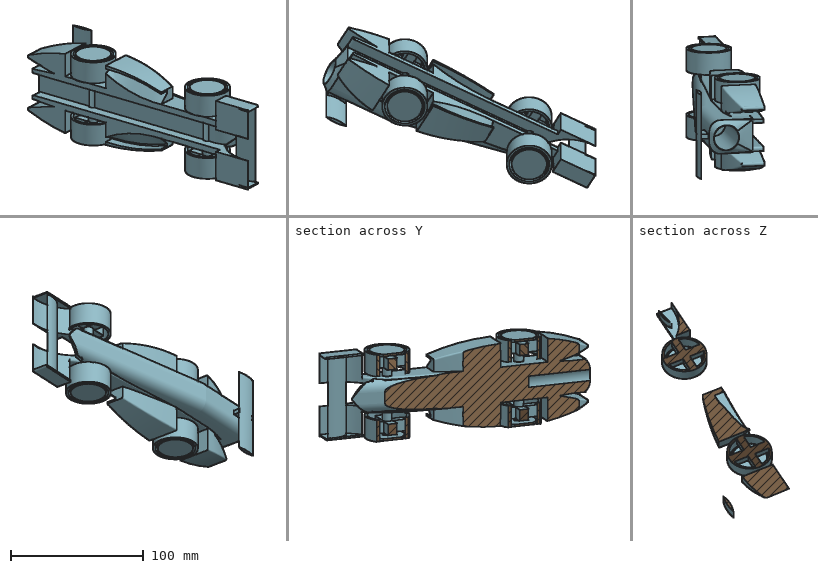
import cadquery as cq
import math


wheel_diameter = 34
wheel_radius = wheel_diameter / 2
wheel_width = 17
rim_bore = 30
cover_diameter = 26.6
cover_thickness = 2
hub_diameter = 7.5
spoke_width_upright = 7.5
spoke_width_level = 6
spoke_recess = 4
spoke_depth = 9
axle_hole_diameter = 6
rear_axle_x = 54
front_axle_x = 161
car_half_width = 34
wheel_inner_z = car_half_width - wheel_width

belly_y = 7
channel_roof_y = 15.4
channel_half_width = 9
side_half_width = 14
pod_half_width = 32.5
slab_end_y = 14
slab_tail_y = 26
tail_x = 4
tail_half_width = 12.3
rail_end_radius = 1.7
wheel_bay_start_x = 35
wheel_bay_end_x = 73
pod_roof_y = 33.2
rear_pod_tip_y = 24
rear_pod_tip_z = 21.5
rear_tip_radius = 1.5
rear_notch_x = 24.5
rear_notch_z = 13.6
front_pod_end_x = 125
front_pod_end_y = 21.7
front_pod_end_z = 23.9
rim_radius = 1.4
duct_roof_y = 15
duct_outer_start_z = 29.9
duct_outer_end_z = 22.5

rear_roof_middle = (18, 30.6)
rear_outer_middle = (12, 26.9)
rear_inner_middle = (14, 16.3)
front_roof_middle = (100, 28.8)
front_outer_middle = (100, 30)
slab_roof_points = [(176, 17.5), (165, 22), (145, 26), (front_pod_end_x, 28)]
duct_outer_middle = (98, 28.7)
duct_floor_inner_arc = [(wheel_bay_end_x, 26), (95, 17.3), (front_pod_end_x, side_half_width)]
duct_roof_inner_arc = [(wheel_bay_end_x, 29.2), (98, 27.5), (front_pod_end_x, 21)]

fuselage_half_width = 13
fuselage_top_y = 48.7
fuselage_edge_radius = 8.5
slope_start_x = 57.5
nose_x = 192
nose_y = 23.2
nose_tip_size = 0.4
nose_lip_y = 21.5
nose_lip_start_x = 184
nose_shoulder_x = 165
nose_shoulder_z = 12
keel_tip_x = 188.5
keel_slope = 0.84
keel_middle = (178, 17.8)
nose_plan_points = [(nose_lip_start_x, 9), (188.3, 5), (nose_x, nose_tip_size)]
nose_taper_start_x = 125
nose_root_x = 163
tail_cap_diameter = 19.5
cartridge_y = 36.4
cartridge_diameter = 19
cartridge_depth = 50

front_wing_start_x = 180
front_wing_end_x = 210
front_wing_bottom_y = 2.2
front_wing_top_y = 15
end_plate_thickness = 1.5
end_plate_corner = 1.4
ramp_lip = 0.4
ramp_middle = (189, 7.2)
flap_start_x = 192
flap_end_x = 208
flap_bottom_y = 11.6
flap_top_y = 14.5
flap_crown = (197, 14)

rear_wing_start_x = 7
rear_wing_end_x = 24.5
rear_wing_edge_y = 54.5
rear_wing_bottom_y = 52.95
rear_wing_top_y = 55.73
strut_root_y = 47
strut_start_x = 7.6
strut_end_x = 23
strut_thickness = 3.4


def side_prism(outline, z_from, z_to):
    """Extrude an XY outline from z_from to z_to."""
    return outline.extrude(z_to - z_from).translate((0, 0, z_from))


def plan_prism(outline, y_from, y_to):
    """Extrude an outline drawn in X and Z from height y_from to y_to."""
    return outline.extrude(y_from - y_to).translate((0, y_from, 0))


def nearest(x, y, z):
    """Select the edge whose middle is closest to a point."""
    return cq.selectors.NearestToPointSelector((x, y, z))


def both_sides(shape):
    """Join a shape on the +Z side with its mirror image."""
    return shape.union(shape.mirror("XY"))


def side_slab():
    profile = (
        cq.Workplane("XY")
        .moveTo(tail_x, belly_y)
        .lineTo(front_wing_start_x, belly_y)
        .lineTo(front_wing_start_x, slab_end_y)
        .spline(slab_roof_points, includeCurrent=True)
        .lineTo(wheel_bay_end_x, pod_roof_y)
        .lineTo(wheel_bay_start_x, pod_roof_y)
        .threePointArc(rear_roof_middle, (tail_x, slab_tail_y))
        .close()
    )
    slab = side_prism(profile, channel_half_width, side_half_width)
    tail_taper = (
        cq.Workplane("XZ")
        .moveTo(tail_x, tail_half_width)
        .lineTo(rear_notch_x, rear_notch_z)
        .lineTo(rear_notch_x, pod_half_width)
        .lineTo(tail_x, pod_half_width)
        .close()
    )
    slab = slab.cut(plan_prism(tail_taper, 0, pod_roof_y))
    slab = slab.edges(nearest(tail_x, channel_roof_y, channel_half_width)).fillet(rail_end_radius)
    return slab.edges(nearest(*slab_roof_points[2], side_half_width)).fillet(rim_radius)


def rear_pod():
    plan = (
        cq.Workplane("XZ")
        .moveTo(wheel_bay_start_x, channel_half_width)
        .lineTo(wheel_bay_start_x, pod_half_width)
        .threePointArc(rear_outer_middle, (rear_tip_radius, rear_pod_tip_z + rear_tip_radius))
        .threePointArc((0, rear_pod_tip_z), (rear_tip_radius, rear_pod_tip_z - rear_tip_radius))
        .threePointArc(rear_inner_middle, (rear_notch_x, rear_notch_z))
        .lineTo(rear_notch_x, channel_half_width)
        .close()
    )
    profile = (
        cq.Workplane("XY")
        .moveTo(0, belly_y)
        .lineTo(wheel_bay_start_x, belly_y)
        .lineTo(wheel_bay_start_x, pod_roof_y)
        .threePointArc(rear_roof_middle, (0, rear_pod_tip_y))
        .close()
    )
    pod = side_prism(profile, channel_half_width, pod_half_width)
    pod = pod.intersect(plan_prism(plan, belly_y, pod_roof_y))
    rim_region = cq.selectors.BoxSelector(
        (-rim_radius, rear_pod_tip_y - rim_radius, rear_notch_z),
        (wheel_bay_start_x - rim_radius, pod_roof_y, pod_half_width + rim_radius),
    )
    return pod.edges(rim_region).edges("not |Y").fillet(rim_radius)


def duct_outline(height, inner_arc):
    """Closed duct section at one height, between an inner arc and the outer wall."""
    inner_start, inner_middle, inner_end = inner_arc
    return (
        cq.Workplane("XZ", origin=(0, height, 0))
        .moveTo(*inner_start)
        .threePointArc(inner_middle, inner_end)
        .lineTo(front_pod_end_x, duct_outer_end_z)
        .threePointArc(duct_outer_middle, (wheel_bay_end_x, duct_outer_start_z))
        .close()
        .wire()
        .val()
    )


def front_pod():
    plan = (
        cq.Workplane("XZ")
        .moveTo(wheel_bay_end_x, channel_half_width)
        .lineTo(wheel_bay_end_x, pod_half_width)
        .threePointArc(front_outer_middle, (front_pod_end_x, front_pod_end_z))
        .lineTo(front_pod_end_x, channel_half_width)
        .close()
    )
    profile = (
        cq.Workplane("XY")
        .moveTo(wheel_bay_end_x, belly_y)
        .lineTo(front_pod_end_x, belly_y)
        .lineTo(front_pod_end_x, front_pod_end_y)
        .threePointArc(front_roof_middle, (wheel_bay_end_x, pod_roof_y))
        .close()
    )
    pod = side_prism(profile, channel_half_width, pod_half_width)
    pod = pod.intersect(plan_prism(plan, belly_y, pod_roof_y))
    roof_rim = nearest(*front_roof_middle, front_outer_middle[1])
    pod = pod.edges(roof_rim).fillet(rim_radius)
    duct_floor = duct_outline(belly_y, duct_floor_inner_arc)
    duct_roof = duct_outline(duct_roof_y, duct_roof_inner_arc)
    return pod.cut(cq.Workplane(cq.Solid.makeLoft([duct_floor, duct_roof], True)))


def fuselage():
    spine_profile = (
        cq.Workplane("XY")
        .moveTo(tail_x, belly_y - fuselage_top_y)
        .lineTo(tail_x, fuselage_top_y)
        .lineTo(slope_start_x, fuselage_top_y)
        .lineTo(nose_x, nose_y)
        .lineTo(nose_x, belly_y - fuselage_top_y)
        .close()
    )
    spine = side_prism(spine_profile, -fuselage_half_width, fuselage_half_width)
    top_edges = cq.selectors.BoxSelector(
        (tail_x, channel_roof_y, -car_half_width), (nose_x, fuselage_top_y + 1, car_half_width)
    )
    spine = spine.edges("(not |Y) and (not |Z)").edges(top_edges).fillet(fuselage_edge_radius)
    side_profile = (
        cq.Workplane("XY")
        .moveTo(tail_x, channel_roof_y)
        .lineTo(nose_root_x, channel_roof_y)
        .threePointArc(keel_middle, (nose_lip_start_x, nose_lip_y))
        .lineTo(nose_x, nose_y - nose_tip_size)
        .lineTo(nose_x, fuselage_top_y)
        .lineTo(tail_x, fuselage_top_y)
        .close()
    )
    half_plan = (
        cq.Workplane("XZ")
        .moveTo(tail_x, 0)
        .lineTo(tail_x, fuselage_half_width)
        .lineTo(nose_taper_start_x, fuselage_half_width)
        .lineTo(nose_shoulder_x, nose_shoulder_z)
        .spline(nose_plan_points, includeCurrent=True)
        .lineTo(nose_x, 0)
        .close()
    )
    plan = both_sides(plan_prism(half_plan, channel_roof_y, fuselage_top_y))
    spine = spine.intersect(side_prism(side_profile, -fuselage_half_width, fuselage_half_width))
    return spine.intersect(plan).cut(both_sides(keel_relief()))


def keel_relief():
    """Space beside the keel, below the overhanging lip of the nose."""
    keel_start_x = keel_tip_x - fuselage_half_width / keel_slope
    beside_keel = (
        cq.Workplane("XZ")
        .moveTo(keel_start_x, fuselage_half_width)
        .lineTo(keel_tip_x, 0)
        .lineTo(nose_x, 0)
        .lineTo(nose_x, fuselage_half_width)
        .close()
    )
    return plan_prism(beside_keel, 0, nose_lip_y)


def tail_cap():
    shoulder_y = fuselage_top_y - fuselage_edge_radius
    roof_half_width = fuselage_half_width - fuselage_edge_radius
    corner_reach = fuselage_edge_radius * math.sqrt(0.5)
    left_corner = (shoulder_y + corner_reach, -roof_half_width - corner_reach)
    right_corner = (shoulder_y + corner_reach, roof_half_width + corner_reach)
    section_points = [
        (channel_roof_y, -tail_half_width),
        (shoulder_y, -fuselage_half_width),
        (fuselage_top_y, -roof_half_width),
        (fuselage_top_y, roof_half_width),
        (shoulder_y, fuselage_half_width),
        (channel_roof_y, tail_half_width),
    ]
    section = (
        cq.Workplane("YZ", origin=(tail_x, 0, 0))
        .moveTo(*section_points[0])
        .lineTo(*section_points[1])
        .threePointArc(left_corner, section_points[2])
        .lineTo(*section_points[3])
        .threePointArc(right_corner, section_points[4])
        .lineTo(*section_points[5])
        .close()
    )

    def on_circle(angle):
        radius = tail_cap_diameter / 2
        return (cartridge_y + radius * math.cos(angle), radius * math.sin(angle))

    angles = [math.atan2(z, y - cartridge_y) for y, z in section_points]
    angles.append(angles[0] + 2 * math.pi)
    round_face = cq.Workplane("YZ").moveTo(*on_circle(angles[0]))
    for start, end in zip(angles, angles[1:]):
        round_face = round_face.threePointArc(on_circle((start + end) / 2), on_circle(end))
    wires = [round_face.wire().val(), section.wire().val()]
    return cq.Workplane(cq.Solid.makeLoft(wires, True))


def cartridge_bore():
    return (
        cq.Workplane("YZ")
        .center(cartridge_y, 0)
        .circle(cartridge_diameter / 2)
        .extrude(cartridge_depth)
    )


def front_wing():
    ramp_profile = (
        cq.Workplane("XY")
        .moveTo(front_wing_start_x, front_wing_bottom_y)
        .lineTo(front_wing_end_x, front_wing_bottom_y)
        .lineTo(front_wing_end_x, front_wing_bottom_y + ramp_lip)
        .threePointArc(ramp_middle, (front_wing_start_x, slab_end_y))
        .close()
    )
    ramp = side_prism(ramp_profile, channel_half_width, pod_half_width)
    end_plate = cq.Workplane("XY").box(
        front_wing_end_x - front_wing_start_x,
        front_wing_top_y - front_wing_bottom_y,
        end_plate_thickness,
        centered=False,
    )
    end_plate = end_plate.edges(">X and >Z").fillet(end_plate_corner)
    end_plate = end_plate.translate(
        (front_wing_start_x, front_wing_bottom_y, pod_half_width - end_plate_thickness)
    )
    flap_profile = (
        cq.Workplane("XY")
        .moveTo(flap_start_x, flap_bottom_y)
        .lineTo(flap_end_x, flap_top_y)
        .threePointArc(flap_crown, (flap_start_x, flap_bottom_y))
        .close()
    )
    flap = side_prism(flap_profile, 0, pod_half_width - end_plate_thickness)
    return ramp.union(end_plate).union(flap)


def rear_wing():
    middle_x = (rear_wing_start_x + rear_wing_end_x) / 2
    blade = (
        cq.Workplane("XY")
        .moveTo(rear_wing_start_x, rear_wing_edge_y)
        .threePointArc((middle_x, rear_wing_top_y), (rear_wing_end_x, rear_wing_edge_y))
        .threePointArc((middle_x, rear_wing_bottom_y), (rear_wing_start_x, rear_wing_edge_y))
        .close()
    )
    blade = side_prism(blade, -pod_half_width, pod_half_width)
    strut = cq.Workplane("XZ").moveTo((strut_start_x + strut_end_x) / 2, 0)
    strut = strut.rect(strut_end_x - strut_start_x, strut_thickness)
    return blade.union(plan_prism(strut, strut_root_y, rear_wing_edge_y))


def axle_hole(x):
    hole = cq.Workplane("XY").center(x, wheel_radius).circle(axle_hole_diameter / 2)
    return side_prism(hole, -side_half_width, side_half_width)


def build_chassis():
    side = side_slab().union(rear_pod()).union(front_pod()).union(front_wing())
    chassis = fuselage().union(both_sides(side)).union(tail_cap()).cut(cartridge_bore()).union(rear_wing())
    for x in (rear_axle_x, front_axle_x):
        chassis = chassis.cut(axle_hole(x))
    return chassis


def build_wheel(x, side):
    outline = cq.Workplane("XY")
    tyre = outline.circle(wheel_radius).circle(rim_bore / 2).extrude(wheel_width)
    hub = side_prism(outline.circle(hub_diameter / 2), side_half_width - wheel_inner_z, wheel_width)
    cover = side_prism(outline.circle(cover_diameter / 2), wheel_width - cover_thickness, wheel_width)
    spoke_length = (rim_bore + wheel_diameter) / 2
    upright_spoke = outline.rect(spoke_width_upright, spoke_length).extrude(spoke_depth)
    level_spoke = outline.rect(spoke_length, spoke_width_level).extrude(spoke_depth)
    spokes = upright_spoke.union(level_spoke)
    spokes = spokes.translate((0, 0, spoke_recess))
    wheel = tyre.union(spokes).union(hub).union(cover).translate((x, wheel_radius, wheel_inner_z))
    return wheel if side > 0 else wheel.mirror("XY")


chassis = build_chassis()
wheels = [build_wheel(x, side) for x in (rear_axle_x, front_axle_x) for side in (1, -1)]
result = cq.Compound.makeCompound([chassis.val(), *[wheel.val() for wheel in wheels]])